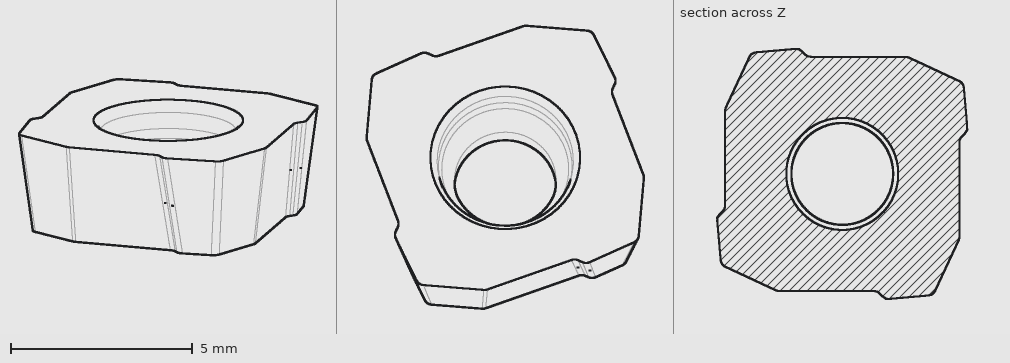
import cadquery as cq
import math

SIDES = 4
width = 7.27
height = 2.8
relief_angle = 7.0
edge_radius = 0.23

flat_distance = 3.4
flat_start_x = -1.825
chamfer_angle = 25.0
land_angle = 5.0
land_peak_x = 1.12
step_angle = 45.0
step_shift = 0.34

bore_diameter = 2.8
mouth_diameter = 4.12
recess_top_diameter = 3.75
recess_bottom_diameter = 3.68
seat_top_diameter = 3.5
recess_top_depth = 0.31
recess_bottom_depth = 0.76
seat_top_depth = 1.02
seat_bottom_depth = 2.06
mouth_radius = 0.37
recess_radius = 0.435
seat_radius = 1.72


def boundary_line(point, normal_angle, offset):
    """Line with the given outward normal, moved outward by offset from point: (nx, ny, distance)."""
    nx = math.cos(math.radians(normal_angle))
    ny = math.sin(math.radians(normal_angle))
    return nx, ny, nx * point[0] + ny * point[1] + offset


def intersection(first, second):
    a, b, c = first
    d, e, f = second
    determinant = a * e - b * d
    return (c * e - b * f) / determinant, (a * f - c * d) / determinant


def rotated(point, angle):
    cosine = math.cos(math.radians(angle))
    sine = math.sin(math.radians(angle))
    return cosine * point[0] - sine * point[1], sine * point[0] + cosine * point[1]


def sharp_outline(depth):
    """Corners of the unrounded outline at a depth below the top face."""
    inset = depth * math.tan(math.radians(relief_angle))
    step_travel = step_shift * depth / height
    flat_corner = (flat_start_x, -flat_distance)
    rounding_center = (land_peak_x, -width / 2 + edge_radius)
    step_center = (land_peak_x + step_travel, rounding_center[1] + inset)

    chamfer = boundary_line(flat_corner, -90 - chamfer_angle, -inset)
    flat = boundary_line(flat_corner, -90, -inset)
    step = boundary_line(step_center, -90 - step_angle, edge_radius)
    land = boundary_line(rounding_center, -90 + land_angle, edge_radius - inset)
    next_chamfer = boundary_line(rotated(flat_corner, 90), -chamfer_angle, -inset)

    side = [
        intersection(chamfer, flat),
        intersection(flat, step),
        intersection(step, land),
        intersection(land, next_chamfer),
    ]
    return [rotated(point, i * 360 / SIDES) for i in range(SIDES) for point in side]


def tapered_body():
    body = (
        cq.Workplane("XY")
        .polyline(sharp_outline(height)).close()
        .workplane(offset=height)
        .polyline(sharp_outline(0)).close()
        .loft(ruled=True, combine=True)
    )
    flank_edges = body.edges("not #Z")
    return flank_edges.fillet(edge_radius)


def screw_hole():
    """Hole with a rounded mouth, a slightly conical recess and a curved screw seat."""
    bore = bore_diameter / 2
    return (
        cq.Workplane("XZ")
        .moveTo(0, height)
        .lineTo(mouth_diameter / 2, height)
        .radiusArc((recess_top_diameter / 2, height - recess_top_depth), -mouth_radius)
        .lineTo(recess_bottom_diameter / 2, height - recess_bottom_depth)
        .radiusArc((seat_top_diameter / 2, height - seat_top_depth), recess_radius)
        .radiusArc((bore, height - seat_bottom_depth), -seat_radius)
        .lineTo(bore, 0)
        .lineTo(0, 0)
        .close()
        .revolve(360, (0, 0, 0), (0, 1, 0))
    )


result = tapered_body().cut(screw_hole())